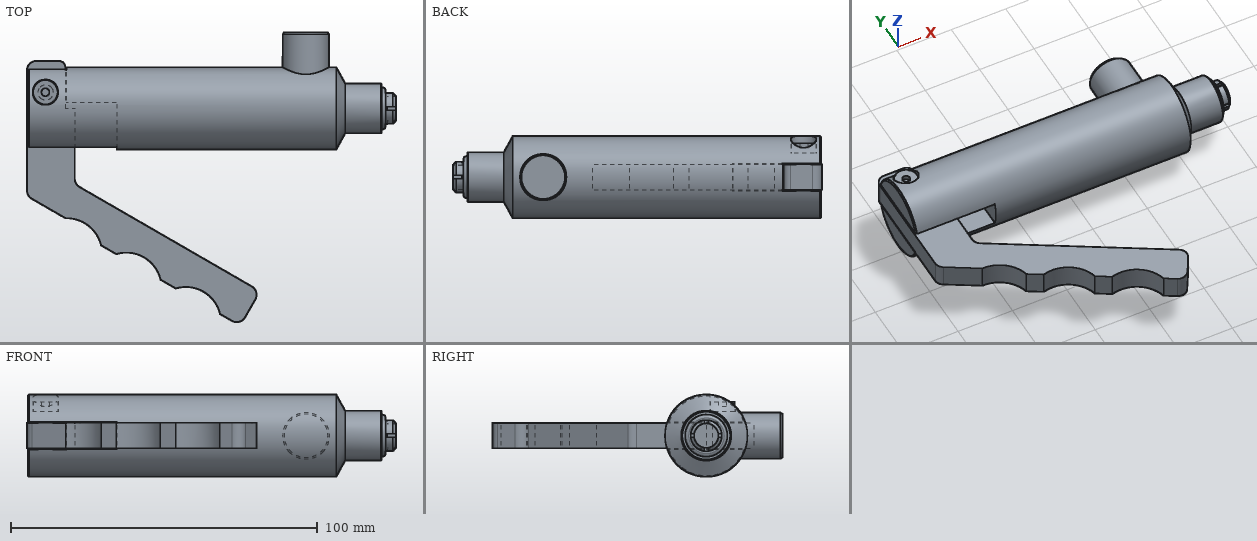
import cadquery as cq
import math


body_diameter = 26.92
body_start = 0.3
body_end = 100.9
back_chamfer = 0.45

nose_diameter = 16.38
nose_start = 103.8
nose_end = 115.8
nose_chamfer = 0.4
collar_radius = 6.9
collar_end = 117.0
collar_fillet = 1.1
stem_radius = 5.1
stem_end = 120.42
core_radius = 7.95 / 2
stem_chamfer_length = 1.05
stem_notch_width = 1.2
stem_notch_start = 117.45
stem_notch_count = 4

port_diameter = 15.19
port_x = 90.95
port_tip_y = 24.9
port_chamfer_radial = 0.5
port_chamfer_axial = 0.8

lever_thickness = 8.38
lever_fillet = 3.175
head_front_fillet = 2.2
grip_angle = 30.0
head_top_y = 15.53
head_width = 12.6
neck_width = 15.64
step_y = 0.0

grip_top_offset = -13.57
grip_neck_offset = -24.74
grip_finger_offset = -26.594
grip_end = 95.7

finger_radius = 11.43
finger_rise = 3.6
finger_pitch = 22.4
finger_count = 3
first_finger = 34.95

slot_width = 8.95
slot_length = 29.3
slot_clearance = 0.3
slot_step_clearance = 2.0
slot_step_y = step_y + slot_step_clearance

screw_x = 6.05
screw_y = 5.28
screw_head_diameter = 7.95
screw_head_top = 11.05
screw_head_bottom = 8.0
counterbore_diameter = 8.33
shank_diameter = 4.98
socket_diameter = 2.6
socket_depth = 1.5


def grip_point(along, offset):
    """Point in XY given by its distance along the grip and its offset square to it."""
    angle = math.radians(grip_angle)
    x = along * math.cos(angle) + offset * math.sin(angle)
    y = -along * math.sin(angle) + offset * math.cos(angle)
    return x, y


def y_on_grip_line(x, offset):
    """Y where the line parallel to the grip at the given offset crosses x."""
    angle = math.radians(grip_angle)
    return (offset - x * math.sin(angle)) / math.cos(angle)


def vertical_cylinder(x, y, diameter, bottom, top):
    return cq.Workplane("XY", origin=(x, y, bottom)).circle(diameter / 2).extrude(top - bottom)


def make_body():
    body_radius = body_diameter / 2
    nose_radius = nose_diameter / 2
    profile = (
        cq.Workplane("XY")
        .moveTo(body_start, 0)
        .lineTo(body_start, body_radius - back_chamfer)
        .lineTo(body_start + back_chamfer, body_radius)
        .lineTo(body_end, body_radius)
        .lineTo(nose_start, nose_radius)
        .lineTo(nose_end - nose_chamfer, nose_radius)
        .lineTo(nose_end, nose_radius - nose_chamfer)
        .lineTo(nose_end, collar_radius)
        .lineTo(collar_end - collar_fillet, collar_radius)
        .radiusArc((collar_end, collar_radius - collar_fillet), collar_fillet)
        .lineTo(collar_end, stem_radius)
        .lineTo(stem_end - stem_chamfer_length, stem_radius)
        .lineTo(stem_end, core_radius)
        .lineTo(stem_end, 0)
        .close()
    )
    return profile.revolve(360, (0, 0, 0), (1, 0, 0))


def make_stem_notches():
    """Slots around the stem rim, cut down to the core."""
    length = stem_end - stem_notch_start
    notch = cq.Workplane("XY", origin=(stem_notch_start, 0, 0)).box(
        length, 2 * stem_radius, stem_notch_width, centered=(False, False, True)
    )
    core = cq.Workplane("YZ", origin=(stem_notch_start, 0, 0)).circle(core_radius).extrude(length)
    notch = notch.cut(core)
    notches = notch
    for index in range(1, stem_notch_count):
        angle = index * 360 / stem_notch_count
        notches = notches.union(notch.rotate((0, 0, 0), (1, 0, 0), angle))
    return notches


def make_port():
    port = cq.Workplane("XZ", origin=(port_x, 0, 0)).circle(port_diameter / 2).extrude(-port_tip_y)
    return port.faces(">Y").chamfer(port_chamfer_axial, port_chamfer_radial)


def make_lever_slot():
    """Slot open at the back; longer on the grip side than on the head side."""
    reach = body_diameter
    outline = [
        (0, -reach),
        (slot_length, -reach),
        (slot_length, slot_step_y),
        (head_width + slot_clearance, slot_step_y),
        (head_width + slot_clearance, reach),
        (0, reach),
    ]
    return cq.Workplane("XY").polyline(outline).close().extrude(slot_width / 2, both=True)


def round_corner(plate, corner, radius):
    """Fillet the edge along Z that stands nearest to the corner."""
    nearest = cq.selectors.NearestToPointSelector((corner[0], corner[1], 0))
    return plate.edges("|Z").edges(nearest).fillet(radius)


def make_lever():
    heel = (0, y_on_grip_line(0, grip_neck_offset))
    crook = (neck_width, y_on_grip_line(neck_width, grip_top_offset))
    tip_top = grip_point(grip_end, grip_top_offset)
    tip_bottom = grip_point(grip_end, grip_finger_offset)
    outline = [
        (0, head_top_y),
        (head_width, head_top_y),
        (head_width, step_y),
        (neck_width, step_y),
        crook,
        tip_top,
        tip_bottom,
        grip_point(first_finger, grip_finger_offset),
        grip_point(first_finger, grip_neck_offset),
        heel,
    ]
    lever = cq.Workplane("XY").polyline(outline).close().extrude(lever_thickness / 2, both=True)

    lever = round_corner(lever, (head_width, head_top_y), head_front_fillet)
    for corner in [(0, head_top_y), heel, crook, tip_top, tip_bottom]:
        lever = round_corner(lever, corner, lever_fillet)

    finger_centre_offset = grip_finger_offset + finger_rise - finger_radius
    for index in range(finger_count):
        x, y = grip_point(first_finger + index * finger_pitch, finger_centre_offset)
        half = lever_thickness / 2
        lever = lever.cut(vertical_cylinder(x, y, 2 * finger_radius, -half, half))
    return lever


def make_screw_counterbore():
    return vertical_cylinder(screw_x, screw_y, counterbore_diameter, screw_head_bottom, body_diameter)


def make_screw():
    """Pivot screw whose shank joins the body and the lever."""
    shank = vertical_cylinder(screw_x, screw_y, shank_diameter, -slot_width / 2, screw_head_bottom)
    head = vertical_cylinder(
        screw_x, screw_y, screw_head_diameter, screw_head_bottom, screw_head_top
    )
    socket = vertical_cylinder(
        screw_x, screw_y, socket_diameter, screw_head_top - socket_depth, screw_head_top
    )
    return shank.union(head).cut(socket)


result = (
    make_body()
    .cut(make_stem_notches())
    .union(make_port())
    .cut(make_lever_slot())
    .cut(make_screw_counterbore())
    .union(make_lever())
    .union(make_screw())
)